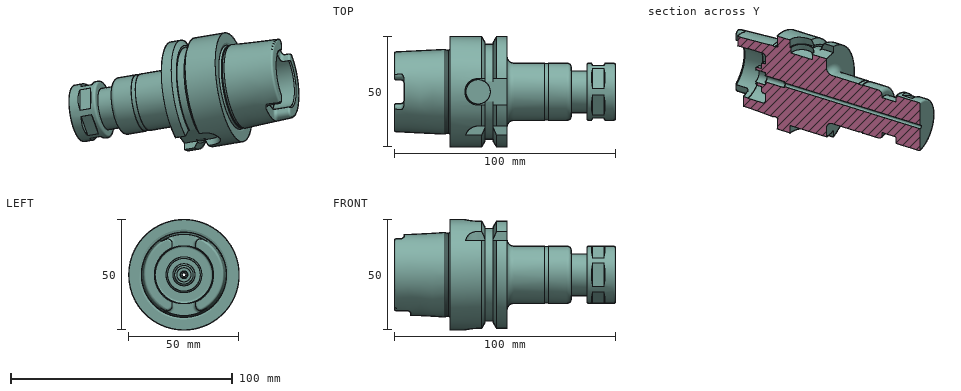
import cadquery as cq
import math

shank_end = -25.0
flange_start = 0.1
flange_end = 26.0
body_end = 55.0
nut_start = 62.0
nut_end = 75.0

taper_large_radius = 19.2
taper_slope = 0.05
taper_end = -2.1
relief_radius = 18.8
relief_shoulder_radius = 18.9
relief_shoulder = -1.4
relief_start = -1.1
relief_end = -0.6
recess_floor = 0.4
recess_inner_radius = 19.3
recess_outer_radius = 20.3
shank_edge_fillet = 1.0

flange_radius = 25.0
groove_floor_radius = 21.5
groove_floor_start = 16.0
groove_floor_end = 19.7
groove_flank_width = 1.5
groove_flank_angle = 60
groove_wall_radius = flange_radius - groove_flank_width * math.tan(math.radians(groove_flank_angle))

body_radius = 13.0
body_root_fillet = 3.0
body_end_fillet = 2.0
ring_start = 42.8
ring_end = 44.8
ring_depth = 0.2
neck_radius = 9.5
nut_radius = 13.0
nut_edge_fillet = 1.0

flat_count = 6
flat_distance = 11.9
flat_start = 64.7
flat_end = 69.7
flat_end_flare = 0.6

drive_half_width = 5.3
drive_straight_height = 14.0
drive_flare_radius = 2.3
drive_floor_fillet = 1.5
drive_depth_top = 4.4
drive_depth_bottom = 7.4

keyway_radius = 6.0
keyway_floor = 21.0
keyway_center_x = 12.9
chip_hole_diameter = 11.0
chip_hole_depth = 2.8
notch_offset = 15.5

bore_radius = 13.0
bore_mouth_radius = 13.4
bore_mouth_depth = 0.7
bore_step = -15.0
bore_inner_radius = 13.2
bore_floor = -6.2
bore_floor_fillet = 1.2
tube_nut_radius = 8.1
tube_nut_height = 2.0
tube_nut_chamfer = 0.7
tube_radius = 5.0
tube_height = 5.0
tube_chamfer = 0.8
tube_bore_diameter = 6.4
coolant_entry_diameter = 3.0
coolant_entry_chamfer = 0.25
coolant_entry_depth = 10.0
coolant_hole_diameter = 1.7


def cylinder_x(diameter, start, end):
    """Cylinder on the X axis from start to end."""
    return cq.Workplane("YZ", origin=(start, 0, 0)).circle(diameter / 2).extrude(end - start)


def around_x(profile):
    """Revolve a closed (x, radius) profile about the X axis."""
    return profile.close().revolve(360, (0, 0, 0), (1, 0, 0))


def make_drive_slot(side, depth):
    """Cutter for the drive slot on the +Z (side = 1) or -Z (side = -1) half of the shank."""
    flare_y = drive_half_width + drive_flare_radius
    flare_z = drive_straight_height + drive_flare_radius
    mid_y = flare_y - drive_flare_radius * math.cos(math.pi / 4)
    mid_z = drive_straight_height + drive_flare_radius * math.sin(math.pi / 4)
    slot = (
        cq.Workplane("YZ", origin=(shank_end, 0, 0))
        .moveTo(-drive_half_width, 0)
        .lineTo(drive_half_width, 0)
        .lineTo(drive_half_width, side * drive_straight_height)
        .threePointArc((mid_y, side * mid_z), (flare_y, side * flare_z))
        .lineTo(flange_radius, side * flare_z)
        .lineTo(flange_radius, side * flange_radius)
        .lineTo(-flange_radius, side * flange_radius)
        .lineTo(-flange_radius, side * flare_z)
        .lineTo(-flare_y, side * flare_z)
        .threePointArc((-mid_y, side * mid_z), (-drive_half_width, side * drive_straight_height))
        .close()
        .extrude(depth)
    )
    return slot.faces(">X").edges().fillet(drive_floor_fillet)


def make_shank():
    """Solid taper shank with rounded edges at its end and on its drive slots."""
    end_radius = taper_large_radius - taper_slope * (taper_end - shank_end)
    taper = around_x(
        cq.Workplane("XY")
        .moveTo(shank_end, 0)
        .lineTo(shank_end, end_radius)
        .lineTo(taper_end, taper_large_radius)
        .lineTo(relief_shoulder, relief_shoulder_radius)
        .lineTo(relief_start, relief_radius)
        .lineTo(relief_end, relief_radius)
        .lineTo(recess_floor, recess_inner_radius)
        .lineTo(recess_floor, 0)
    )
    taper = taper.faces("<X").edges().fillet(shank_edge_fillet)
    slotted = cylinder_x(2 * flange_radius, shank_end, recess_floor)
    slotted = slotted.cut(make_drive_slot(1, drive_depth_top))
    slotted = slotted.cut(make_drive_slot(-1, drive_depth_bottom))
    slotted = slotted.faces("<X").edges().fillet(shank_edge_fillet)
    return taper.intersect(slotted)


def make_flange():
    """Flange with the gripper groove and the conical recess around the shank."""
    return around_x(
        cq.Workplane("XY")
        .moveTo(recess_floor, 0)
        .lineTo(recess_floor, recess_inner_radius)
        .lineTo(flange_start, recess_outer_radius)
        .lineTo(flange_start, flange_radius)
        .lineTo(groove_floor_start - groove_flank_width, flange_radius)
        .lineTo(groove_floor_start, groove_wall_radius)
        .lineTo(groove_floor_start, groove_floor_radius)
        .lineTo(groove_floor_end, groove_floor_radius)
        .lineTo(groove_floor_end, groove_wall_radius)
        .lineTo(groove_floor_end + groove_flank_width, flange_radius)
        .lineTo(flange_end, flange_radius)
        .lineTo(flange_end, 0)
    )


def keyway_cutter(center_y, floor):
    """Round-ended slot above the floor height, open toward +X."""
    height = flange_radius - floor
    run = flange_end - keyway_center_x
    start = cq.Workplane("XY", origin=(keyway_center_x, center_y, floor))
    round_end = start.circle(keyway_radius).extrude(height)
    straight = start.center(run / 2, 0).rect(run, 2 * keyway_radius).extrude(height)
    return round_end.union(straight)


def cut_flange(flange):
    """Cut the two keyways, the chip hole and the corner notch."""
    keyway = keyway_cutter(0, keyway_floor)
    notch = keyway_cutter(-notch_offset - keyway_radius, notch_offset)
    chip_hole = (
        cq.Workplane("XY", origin=(keyway_center_x, 0, keyway_floor))
        .circle(chip_hole_diameter / 2)
        .extrude(-chip_hole_depth)
    )
    return flange.cut(keyway).cut(keyway.mirror("XY")).cut(notch).cut(chip_hole)


def make_body():
    """Cylindrical body with a shallow ring, blended into the flange and rounded at its end."""
    body = around_x(
        cq.Workplane("XY")
        .moveTo(flange_end, 0)
        .lineTo(flange_end, body_radius + body_root_fillet)
        .radiusArc((flange_end + body_root_fillet, body_radius), -body_root_fillet)
        .lineTo(body_end, body_radius)
        .lineTo(body_end, 0)
    )
    ring = cylinder_x(2 * body_radius, ring_start, ring_end).cut(
        cylinder_x(2 * (body_radius - ring_depth), ring_start, ring_end)
    )
    return body.faces(">X").edges().fillet(body_end_fillet).cut(ring)


def make_nut():
    """Clamping nut with six flats whose end walls flare outward."""
    nut = cylinder_x(2 * nut_radius, nut_start, nut_end).edges().fillet(nut_edge_fillet)
    flat_depth = nut_radius - flat_distance
    flat = (
        cq.Workplane("XY")
        .moveTo(flat_start, -flat_distance)
        .lineTo(flat_end, -flat_distance)
        .lineTo(flat_end + flat_end_flare, -flat_distance - flat_depth)
        .lineTo(flat_start - flat_end_flare, -flat_distance - flat_depth)
        .close()
        .extrude(nut_radius, both=True)
    )
    for index in range(flat_count):
        nut = nut.cut(flat.rotate((0, 0, 0), (1, 0, 0), index * 360 / flat_count))
    return nut


def make_bore():
    """Cavity of the shank: chamfered bore rounded into its floor around the coolant tube."""
    tube_end = bore_floor - tube_height
    tube_nut_end = bore_floor - tube_nut_height
    return around_x(
        cq.Workplane("XY")
        .moveTo(shank_end, 0)
        .lineTo(shank_end, bore_mouth_radius)
        .lineTo(shank_end + bore_mouth_depth, bore_radius)
        .lineTo(bore_step, bore_radius)
        .lineTo(bore_step, bore_inner_radius)
        .lineTo(bore_floor - bore_floor_fillet, bore_inner_radius)
        .radiusArc((bore_floor, bore_inner_radius - bore_floor_fillet), bore_floor_fillet)
        .lineTo(bore_floor, tube_nut_radius)
        .lineTo(tube_nut_end + tube_nut_chamfer, tube_nut_radius)
        .lineTo(tube_nut_end, tube_nut_radius - tube_nut_chamfer)
        .lineTo(tube_nut_end, tube_radius)
        .lineTo(tube_end + tube_chamfer, tube_radius)
        .lineTo(tube_end, tube_radius - tube_chamfer)
        .lineTo(tube_end, 0)
    )


def make_coolant_path():
    """Stepped passage through the coolant tube and on to the front of the nut."""
    tube_bore = cylinder_x(tube_bore_diameter, bore_floor - tube_height, bore_floor)
    entry = cylinder_x(coolant_entry_diameter, bore_floor, bore_floor + coolant_entry_depth)
    entry_rim = around_x(
        cq.Workplane("XY")
        .moveTo(bore_floor, 0)
        .lineTo(bore_floor, coolant_entry_diameter / 2 + coolant_entry_chamfer)
        .lineTo(bore_floor + coolant_entry_chamfer, coolant_entry_diameter / 2)
        .lineTo(bore_floor + coolant_entry_chamfer, 0)
    )
    passage = cylinder_x(coolant_hole_diameter, bore_floor, nut_end)
    return tube_bore.union(entry).union(entry_rim).union(passage)


result = make_shank().union(cut_flange(make_flange())).union(make_body())
result = result.union(cylinder_x(2 * neck_radius, body_end, nut_start)).union(make_nut())
result = result.cut(make_bore()).cut(make_coolant_path())